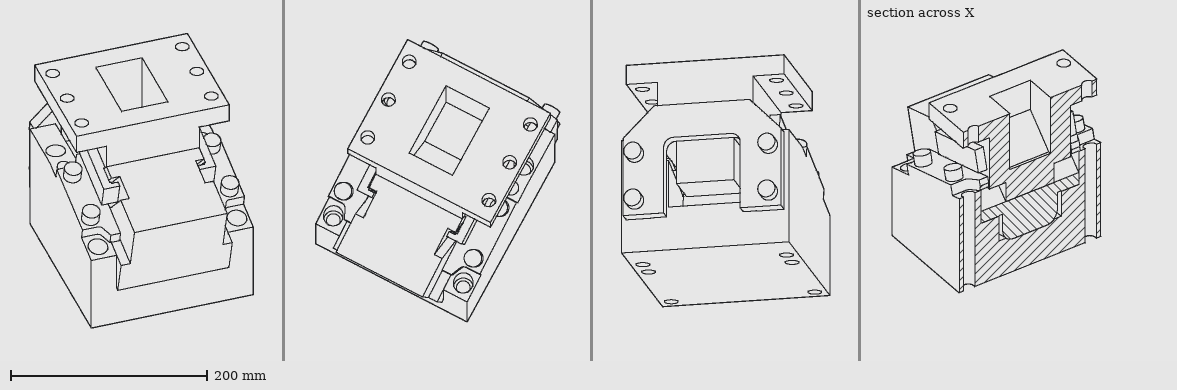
import cadquery as cq
import math

BASE_LENGTH = 190.0
BASE_WIDTH = 175.0
BASE_HEIGHT = 120.0
SLOPE_START_X = 62.0
SLOPE_ANGLE = 15.0
CHANNEL_HALF_WIDTH = 38.2
CHANNEL_FLOOR_Z = 45.7

MOUNT_HOLE_Y = 75.0
MOUNT_HOLE_X = (44.0, 175.0)
PLAIN_HOLE_X = 70.0
MOUNT_HOLE_DIAMETER = 14.0
COUNTERBORE_DIAMETER = 20.0
COUNTERBORE_DEPTH = 20.0

PLATE_THICKNESS = 15.0
PLATE_HALF_WIDTH = 82.5
PLATE_BOTTOM_Z = 35.0
PLATE_TOP_Z = 150.0
PLATE_TOP_HALF_WIDTH = 50.0
WINDOW_HALF_WIDTH = 40.0
WINDOW_TOP_Z = 115.0
WINDOW_RADIUS = 10.0
RELIEF_DEPTH = 1.0
RELIEF_HALF_WIDTH = 53.5

BOLT_DIAMETER = 18.0
BOLT_HEAD_HEIGHT = 12.0
PLATE_BOLT_Y = 70.0
PLATE_BOLT_Z = (50.0, 100.0)

CLAMP_CENTER = 60.0
CLAMP_HALF_LENGTH = 55.0
CLAMP_OUTER_HALF_LENGTH = 41.2
CLAMP_THICKNESS = 12.0
CLAMP_INNER_Y = 51.0
CLAMP_TIP_Y = 61.5
CLAMP_SHOULDER_Y = 68.0
CLAMP_CORNER_RADIUS = 5.0
CLAMP_BOLT_OFFSET = 29.0
CLAMP_BOLT_Y = 75.0

FLANGE_LENGTH = 130.0
FLANGE_HALF_WIDTH = 82.5
FLANGE_TOP_Z = 200.0
FLANGE_BOTTOM_Z = 179.5
NECK_HALF_WIDTH = 50.0
NECK_BOTTOM_Z = WINDOW_TOP_Z
TONGUE_HALF_WIDTH = 30.0
TONGUE_BOTTOM_Z = 70.2
POCKET_START_X = 24.5
POCKET_RAMP_X = 71.0
POCKET_END_X = 104.5
POCKET_HALF_WIDTH = 25.0
POCKET_FLOOR_Z = 130.0
FLANGE_HOLE_X = (20.0, 65.0, 110.0)
FLANGE_HOLE_Y = 70.0
FLANGE_HOLE_DIAMETER = 14.0

SLIDE_END = 146.53
SLIDE_TOP = 50.0
SLIDE_HALF_WIDTH = 50.0
FOOT_HALF_WIDTH = 60.0
FOOT_DEPTH = 40.0
SLIDE_NOSE_X = 67.5
PLUNGER_HALF_WIDTH = 34.0
PLUNGER_START = 1.0
PLUNGER_END = 51.5
PLUNGER_DEPTH = 74.0
PLUNGER_RADIUS = 14.0
SLOT_RADIUS = 13.0
SLOT_END_X = 135.8
SLOT_END_Z = 122.0
SLOT_DEPTH = 9.0

STRAP_START = 6.0
STRAP_END = 80.5
STRAP_BOTTOM = 19.2
STRAP_TOP = 44.7
STRAP_OUTER_Y = 60.5
STRAP_GAP = 1.7
HOOK_LENGTH = 5.5
HOOK_INNER_Y = 43.2
GAP_END_OFFSET = 0.0

SIN = math.sin(math.radians(SLOPE_ANGLE))
COS = math.cos(math.radians(SLOPE_ANGLE))
SLIDE_TOP_Z_AT_NECK = BASE_HEIGHT + (SLIDE_TOP - (FLANGE_LENGTH - SLOPE_START_X) * SIN) / COS
RAMP_OFFSET = FLANGE_LENGTH - SLIDE_TOP_Z_AT_NECK
FAR = 400.0
SIDES = (-1, 1)


def slope_point(along, height):
    """XZ position of a point given along the slope and square to it."""
    return (
        SLOPE_START_X + along * COS + height * SIN,
        BASE_HEIGHT - along * SIN + height * COS,
    )


def box(x0, x1, y0, y1, z0, z1):
    """Level box between pairs of coordinates."""
    return cq.Workplane("XY").box(x1 - x0, y1 - y0, z1 - z0, centered=False).translate((x0, y0, z0))


def side_profile(points, y0, y1):
    """Prism of an XZ outline between two Y values."""
    y0, y1 = min(y0, y1), max(y0, y1)
    return cq.Workplane("XZ", origin=(0, y1, 0)).polyline(points).close().extrude(y1 - y0)


def slope_box(along0, along1, y0, y1, height0, height1):
    """Box whose sides follow the slope."""
    corners = [(along0, height0), (along1, height0), (along1, height1), (along0, height1)]
    return side_profile([slope_point(a, h) for a, h in corners], y0, y1)


def above_ramp(offset):
    """Space on the upper left of the 45 degree plane x - z = offset."""
    corners = [(-FAR + offset, -FAR), (FAR + offset, FAR), (-FAR + offset, FAR)]
    return side_profile(corners, -FAR, FAR)


def on_slope(along, y, height):
    """Workplane lying on the slope."""
    x, z = slope_point(along, height)
    return cq.Workplane(cq.Plane(origin=(x, y, z), xDir=(COS, 0, -SIN), normal=(SIN, 0, COS)))


def make_plunger():
    """Block under the slide, with rounded lower corners; it also shapes its bed in the base."""
    half = PLUNGER_HALF_WIDTH
    block = slope_box(PLUNGER_START, PLUNGER_END, -half, half, -PLUNGER_DEPTH, 0)
    along_slope = cq.selectors.ParallelDirSelector(cq.Vector(COS, 0, -SIN))
    return block.edges(along_slope).edges("<Z").fillet(PLUNGER_RADIUS)


def make_front_plate():
    """Plate on the front of the base, with its window and bolt heads."""
    outline = [
        (PLATE_HALF_WIDTH, PLATE_BOTTOM_Z),
        (PLATE_HALF_WIDTH, PLATE_TOP_Z - (PLATE_HALF_WIDTH - PLATE_TOP_HALF_WIDTH)),
        (PLATE_TOP_HALF_WIDTH, PLATE_TOP_Z),
    ]
    outline += [(-y, z) for y, z in reversed(outline)]
    front = cq.Workplane("YZ", origin=(-PLATE_THICKNESS, 0, 0))
    plate = front.polyline(outline).close().extrude(PLATE_THICKNESS)
    window = box(-FAR, FAR, -WINDOW_HALF_WIDTH, WINDOW_HALF_WIDTH, 0, WINDOW_TOP_Z)
    window = window.edges("|X and >Z").fillet(WINDOW_RADIUS)
    relief = box(-RELIEF_DEPTH, 0, -RELIEF_HALF_WIDTH, RELIEF_HALF_WIDTH, 0, FAR)
    bolts = [(side * PLATE_BOLT_Y, z) for side in SIDES for z in PLATE_BOLT_Z]
    heads = front.pushPoints(bolts).circle(BOLT_DIAMETER / 2).extrude(-BOLT_HEAD_HEIGHT)
    return plate.cut(window).cut(relief).union(heads)


def make_clamp(side):
    """Clamp holding the slide foot down, with its two bolt heads."""
    half = [
        (CLAMP_HALF_LENGTH, CLAMP_INNER_Y),
        (CLAMP_HALF_LENGTH, CLAMP_TIP_Y),
        (CLAMP_OUTER_HALF_LENGTH, CLAMP_SHOULDER_Y),
        (CLAMP_OUTER_HALF_LENGTH, BASE_WIDTH / 2),
    ]
    outline = half + [(-along, y) for along, y in reversed(half)]
    outline = [(along, side * y) for along, y in outline]
    clamp = on_slope(CLAMP_CENTER, 0, 0).polyline(outline).close().extrude(CLAMP_THICKNESS)
    for end in SIDES:
        x, z = slope_point(CLAMP_CENTER + end * CLAMP_OUTER_HALF_LENGTH, CLAMP_THICKNESS / 2)
        shoulder = cq.selectors.NearestToPointSelector((x, side * CLAMP_SHOULDER_Y, z))
        clamp = clamp.edges(shoulder).fillet(CLAMP_CORNER_RADIUS)
    heads = (
        on_slope(CLAMP_CENTER, 0, CLAMP_THICKNESS)
        .pushPoints([(end * CLAMP_BOLT_OFFSET, side * CLAMP_BOLT_Y) for end in SIDES])
        .circle(BOLT_DIAMETER / 2)
        .extrude(BOLT_HEAD_HEIGHT)
    )
    return clamp.union(heads)


def surface_z(x):
    """Height of the base top at a given x."""
    return BASE_HEIGHT - max(0, x - SLOPE_START_X) * SIN / COS


def make_base():
    """Base block with guideway, channel, holes, clamps and front plate."""
    outline = [
        (0, 0),
        (BASE_LENGTH, 0),
        (BASE_LENGTH, surface_z(BASE_LENGTH)),
        (SLOPE_START_X, BASE_HEIGHT),
        (0, BASE_HEIGHT),
    ]
    base = side_profile(outline, -BASE_WIDTH / 2, BASE_WIDTH / 2)

    base = base.cut(slope_box(-FAR, FAR, -FOOT_HALF_WIDTH, FOOT_HALF_WIDTH, -FOOT_DEPTH, FAR))

    channel = box(0, BASE_LENGTH, -CHANNEL_HALF_WIDTH, CHANNEL_HALF_WIDTH, CHANNEL_FLOOR_Z, BASE_HEIGHT)
    beyond_wall = slope_box(PLUNGER_END, FAR, -BASE_WIDTH, BASE_WIDTH, -FAR, FAR)
    base = base.cut(channel.cut(beyond_wall)).cut(make_plunger())

    for side in SIDES:
        y = side * MOUNT_HOLE_Y
        through = [(x, y) for x in (*MOUNT_HOLE_X, PLAIN_HOLE_X)]
        holes = cq.Workplane("XY").pushPoints(through).circle(MOUNT_HOLE_DIAMETER / 2).extrude(BASE_HEIGHT)
        base = base.cut(holes)
        for x in MOUNT_HOLE_X:
            floor = cq.Workplane("XY", origin=(x, y, surface_z(x) - COUNTERBORE_DEPTH))
            base = base.cut(floor.circle(COUNTERBORE_DIAMETER / 2).extrude(FAR))

    base = base.union(make_front_plate())
    for side in SIDES:
        base = base.union(make_clamp(side), clean=False)
    return base


def make_slide():
    """Sloped slide with its foot, plunger and cam slots."""
    upper = slope_box(-FAR, SLIDE_END, -SLIDE_HALF_WIDTH, SLIDE_HALF_WIDTH, -FOOT_DEPTH, SLIDE_TOP)
    foot = slope_box(-FAR, SLIDE_END, -FOOT_HALF_WIDTH, FOOT_HALF_WIDTH, -FOOT_DEPTH, 0)
    ahead_of_nose = box(-FAR, SLIDE_NOSE_X, -FAR, FAR, -FAR, FAR)
    slide = upper.union(foot).cut(ahead_of_nose)
    slide = slide.union(make_plunger()).cut(above_ramp(RAMP_OFFSET))

    reach = SLOT_RADIUS * math.sqrt(0.5)
    rise = SLIDE_TOP
    for side in SIDES:
        inner = side * (SLIDE_HALF_WIDTH - SLOT_DEPTH)
        outer = side * SLIDE_HALF_WIDTH
        track = [
            (SLOT_END_X - reach, SLOT_END_Z + reach),
            (SLOT_END_X + reach, SLOT_END_Z - reach),
            (SLOT_END_X + reach + rise, SLOT_END_Z - reach + rise),
            (SLOT_END_X - reach + rise, SLOT_END_Z + reach + rise),
        ]
        end = cq.Workplane("XZ", origin=(SLOT_END_X, max(inner, outer), SLOT_END_Z))
        end = end.circle(SLOT_RADIUS).extrude(SLOT_DEPTH)
        slide = slide.cut(side_profile(track, inner, outer).union(end))
    return slide


def make_strap(side):
    """Side strap of the hopper, hooked into the cam slot of the slide."""
    strap = slope_box(
        STRAP_START, STRAP_END, side * NECK_HALF_WIDTH, side * STRAP_OUTER_Y, STRAP_BOTTOM, STRAP_TOP
    )
    gap_outer = NECK_HALF_WIDTH + STRAP_GAP
    beyond_ramp = box(-FAR, FAR, -gap_outer, gap_outer, -FAR, FAR).cut(above_ramp(RAMP_OFFSET))
    gap = beyond_ramp.intersect(above_ramp(GAP_END_OFFSET))
    hook = slope_box(
        STRAP_END - HOOK_LENGTH, STRAP_END, side * HOOK_INNER_Y, side * gap_outer, STRAP_BOTTOM, STRAP_TOP
    )
    return strap.cut(gap).union(hook)


def make_hopper():
    """Flanged hopper resting on the ramp of the slide."""
    length = FLANGE_LENGTH
    flange = box(0, length, -FLANGE_HALF_WIDTH, FLANGE_HALF_WIDTH, FLANGE_BOTTOM_Z, FLANGE_TOP_Z)
    neck = box(0, length, -NECK_HALF_WIDTH, NECK_HALF_WIDTH, NECK_BOTTOM_Z, FLANGE_TOP_Z)
    tongue = box(0, length, -TONGUE_HALF_WIDTH, TONGUE_HALF_WIDTH, TONGUE_BOTTOM_Z, FLANGE_TOP_Z)
    hopper = flange.union(neck).union(tongue).intersect(above_ramp(RAMP_OFFSET))

    pocket = [
        (POCKET_START_X, FLANGE_TOP_Z),
        (POCKET_START_X, POCKET_FLOOR_Z),
        (POCKET_RAMP_X, POCKET_FLOOR_Z),
        (POCKET_END_X, POCKET_FLOOR_Z + POCKET_END_X - POCKET_RAMP_X),
        (POCKET_END_X, FLANGE_TOP_Z),
    ]
    hopper = hopper.cut(side_profile(pocket, -POCKET_HALF_WIDTH, POCKET_HALF_WIDTH))

    holes = [(x, side * FLANGE_HOLE_Y) for x in FLANGE_HOLE_X for side in SIDES]
    drilled = cq.Workplane("XY", origin=(0, 0, FLANGE_BOTTOM_Z)).pushPoints(holes)
    hopper = hopper.cut(drilled.circle(FLANGE_HOLE_DIAMETER / 2).extrude(FLANGE_TOP_Z - FLANGE_BOTTOM_Z))
    for side in SIDES:
        hopper = hopper.union(make_strap(side))
    return hopper


base = make_base()
slide = make_slide()
hopper = make_hopper()
result = cq.Compound.makeCompound([*base.solids().vals(), *slide.solids().vals(), *hopper.solids().vals()])